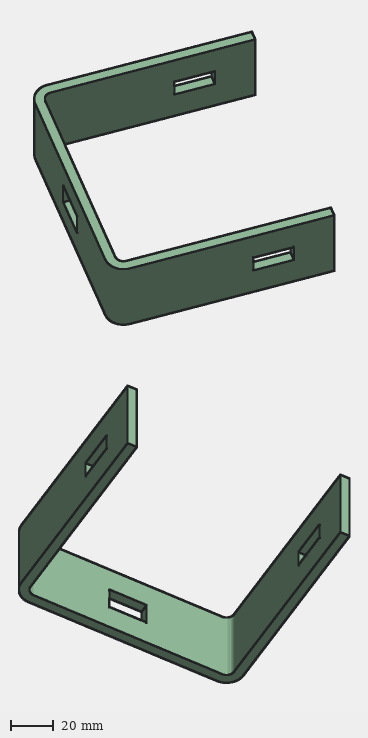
import cadquery as cq

width = 119.0
depth = 110.0
height = 40.0
thickness = 5.0
outer_radius = 9.0
inner_radius = outer_radius - thickness

web_slot_length = 20.0
web_slot_height = 12.0
leg_slot_length = 20.0
leg_slot_height = 9.0
leg_slot_end_distance = 20.0

front_y = -depth / 2
back_y = depth / 2


def bent_strap():
    """U-shaped strap with concentric inner and outer bends."""
    outer = cq.Workplane("XY").box(width, depth, height)
    outer = outer.edges("|Z and <Y").fillet(outer_radius)
    inner = cq.Workplane("XY").box(width - 2 * thickness, depth, height)
    inner = inner.edges("|Z and <Y").fillet(inner_radius)
    return outer.cut(inner.translate((0, thickness, 0)))


def web_slot():
    """Opening through the middle of the web."""
    slot = cq.Workplane("XY").box(web_slot_length, 2 * thickness, web_slot_height)
    return slot.translate((0, front_y + thickness / 2, 0))


def leg_slots():
    """One cutter spanning both legs, near their free ends."""
    slot = cq.Workplane("XY").box(width + 2 * thickness, leg_slot_length, leg_slot_height)
    return slot.translate((0, back_y - leg_slot_end_distance - leg_slot_length / 2, 0))


result = bent_strap().cut(web_slot()).cut(leg_slots())